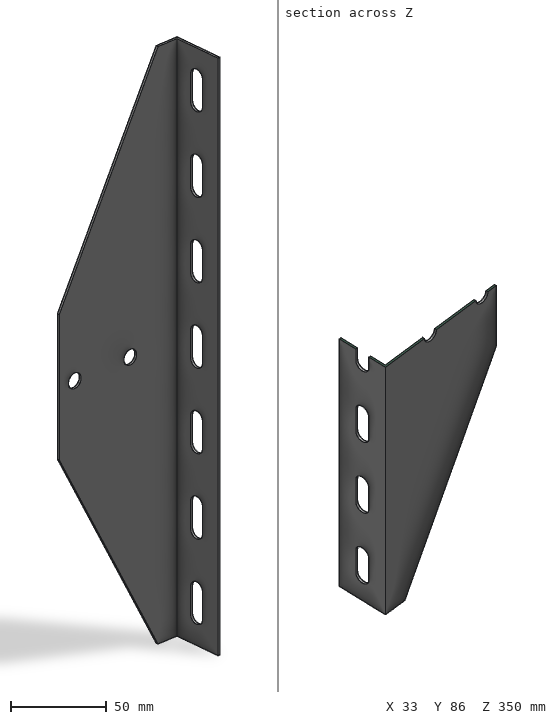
import cadquery as cq

height = 350.0
flange_width = 33.0
web_depth = 86.0
thickness = 1.5

end_depth = 15.0
nose_height = 85.0

hole_diameter = 9.0
hole_distances = (35.0, 75.0)

slot_count = 7
slot_pitch = 50.0
slot_length = 25.0
slot_width = 9.0

left = -flange_width / 2
back = web_depth / 2
front = -web_depth / 2


def make_web():
    """Plate in the YZ plane, tapering from the back edge to the nose."""
    outline = [
        (back, -height / 2),
        (back, height / 2),
        (back - end_depth, height / 2),
        (front, nose_height / 2),
        (front, -nose_height / 2),
        (back - end_depth, -height / 2),
    ]
    plate = cq.Workplane("YZ", origin=(left, 0, 0)).polyline(outline).close().extrude(thickness)
    hole_points = [(back - distance, 0) for distance in hole_distances]
    holes = (
        cq.Workplane("YZ", origin=(left, 0, 0))
        .pushPoints(hole_points)
        .circle(hole_diameter / 2)
        .extrude(thickness)
    )
    return plate.cut(holes)


def make_flange():
    """Back plate in the XZ plane with a column of slots."""
    plate = cq.Workplane("XY").box(flange_width, thickness, height)
    slots = (
        cq.Workplane("XZ")
        .rarray(3.5, slot_pitch, 1, slot_count)
        .slot2D(slot_length, slot_width, 90)
        .extrude(thickness, both=True)
    )
    return plate.cut(slots).translate((0, back - thickness / 2, 0))


result = make_web().union(make_flange())